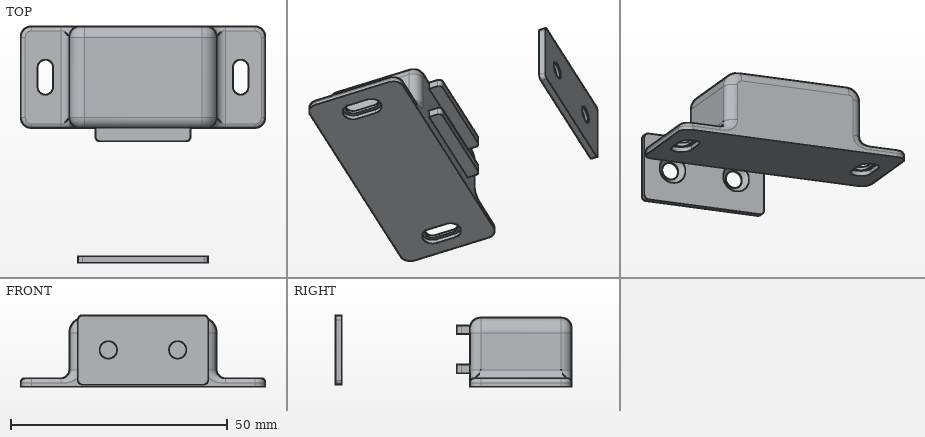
import cadquery as cq
import math

housing_width = 56.5
cover_width = 34.0
housing_depth = 23.5
cover_height = 16.0
ear_thickness = 2.0
ear_corner_radius = 2.5
ear_edge_radius = 1.0
cover_side_radius = 3.5
cover_edge_radius = 2.5
ear_root_radius = 2.0

slot_spacing = 45.1
slot_width = 3.5
slot_length = 8.0
slot_recess_depth = 1.2
slot_recess_margin = 0.7

pole_width = 22.0
pole_thickness = 2.05
pole_overhang = 3.05
pole_corner_radius = 1.0
pole_spacing = 9.05
pole_middle_height = 8.65
pole_pocket_depth = housing_depth / 2

strike_width = 30.05
strike_height = 16.0
strike_thickness = 1.5
strike_corner_radius = 1.0
strike_base_height = 0.5
strike_front_y = -31.1
strike_hole_diameter = 4.0
strike_hole_spacing = 16.0
strike_countersink = 1.25

root_centre_x = cover_width / 2 + ear_root_radius
root_centre_z = ear_thickness + ear_root_radius
root_section_angles = [0, 30, 60, 90]
cutter_margin = 0.55

pole_heights = [
    pole_middle_height - pole_spacing / 2,
    pole_middle_height + pole_spacing / 2,
]


def make_ears():
    """Flat mounting strip with round corners and a rounded upper edge."""
    strip = cq.Workplane("XY").box(
        housing_width, housing_depth, ear_thickness, centered=(True, False, False)
    )
    strip = strip.edges("|Z").fillet(ear_corner_radius)
    return strip.faces(">Z").edges().fillet(ear_edge_radius)


def make_cover():
    """Block with every edge rounded except those on the mounting face."""
    block = cq.Workplane("XY").box(
        cover_width, housing_depth, cover_height, centered=(True, False, False)
    )
    block = block.edges("|Y and >Z").fillet(cover_side_radius)
    front_and_back = block.faces("<Y or >Y").edges("not <Z")
    return front_and_back.fillet(cover_edge_radius)


def make_corner_section(angle):
    """Waste left outside the rounded front edge of an ear root, cut at one angle round the root.

    The angle runs from 0 at the cover to 90 degrees at the ear.  The edge radius changes
    smoothly from that of the cover to that of the ear.
    """
    cover_share = math.cos(math.radians(angle)) ** 2
    edge_radius = ear_edge_radius + (cover_edge_radius - ear_edge_radius) * cover_share
    plane = cq.Plane(
        origin=(root_centre_x, 0, root_centre_z),
        xDir=(-math.cos(math.radians(angle)), 0, -math.sin(math.radians(angle))),
        normal=(math.sin(math.radians(angle)), 0, -math.cos(math.radians(angle))),
    )
    arc_middle = edge_radius * (1 - math.sqrt(0.5))
    return (
        cq.Workplane(plane)
        .moveTo(ear_root_radius + edge_radius, 0)
        .threePointArc(
            (ear_root_radius + arc_middle, arc_middle),
            (ear_root_radius, edge_radius),
        )
        .lineTo(ear_root_radius - cutter_margin, edge_radius)
        .lineTo(ear_root_radius - cutter_margin, -cutter_margin)
        .lineTo(ear_root_radius + edge_radius, -cutter_margin)
        .close()
        .val()
    )


def make_ear_root():
    """Concave fill between the cover and the ear at +X, with square front and back edges."""
    inner_x = cover_width / 2 - cover_edge_radius
    diagonal = ear_root_radius * math.sqrt(0.5)
    return (
        cq.Workplane("XZ")
        .moveTo(inner_x, 0)
        .lineTo(root_centre_x, 0)
        .lineTo(root_centre_x, ear_thickness)
        .threePointArc(
            (root_centre_x - diagonal, root_centre_z - diagonal),
            (cover_width / 2, root_centre_z),
        )
        .lineTo(inner_x, root_centre_z)
        .close()
        .extrude(-housing_depth)
    )


def round_root_edges(housing):
    """Round the front and back edges of both ear roots."""
    sections = [make_corner_section(angle) for angle in root_section_angles]
    front_waste = cq.Workplane(cq.Solid.makeLoft(sections))
    back_waste = front_waste.mirror("XZ").translate((0, housing_depth, 0))
    for waste in (front_waste, back_waste):
        housing = housing.cut(waste).cut(waste.mirror("YZ"))
    return housing


def cut_screw_slots(housing):
    """Slots through the ears, each with a wider recess in the mounting face."""
    places = [(-slot_spacing / 2, housing_depth / 2), (slot_spacing / 2, housing_depth / 2)]
    slots = (
        cq.Workplane("XY")
        .pushPoints(places)
        .slot2D(slot_length, slot_width, 90)
        .extrude(ear_thickness)
    )
    recesses = (
        cq.Workplane("XY")
        .pushPoints(places)
        .slot2D(slot_length + 2 * slot_recess_margin, slot_width + 2 * slot_recess_margin, 90)
        .extrude(slot_recess_depth)
    )
    return housing.cut(slots).cut(recesses)


def make_pole_plate(height):
    """Flat plate centred at the given height, with its two front corners rounded."""
    plate = cq.Workplane("XY").box(
        pole_width,
        pole_overhang + pole_pocket_depth,
        pole_thickness,
        centered=(True, False, True),
    )
    plate = plate.edges("|Z and <Y").fillet(pole_corner_radius)
    return plate.translate((0, -pole_overhang, height))


def make_housing(pole_plates):
    root = make_ear_root()
    housing = make_ears().union(make_cover()).union(root).union(root.mirror("YZ"))
    housing = round_root_edges(housing)
    housing = cut_screw_slots(housing)
    for plate in pole_plates:
        housing = housing.cut(plate)
    return housing


def make_strike_plate():
    """Upright plate with round corners and two holes countersunk on the side facing the housing."""
    hole_places = [(-strike_hole_spacing / 2, 0), (strike_hole_spacing / 2, 0)]
    plate = (
        cq.Workplane("XZ")
        .rect(strike_width, strike_height)
        .extrude(-strike_thickness)
        .edges("|Y")
        .fillet(strike_corner_radius)
    )
    holes = (
        cq.Workplane("XZ")
        .pushPoints(hole_places)
        .circle(strike_hole_diameter / 2)
        .extrude(-strike_thickness)
    )
    countersinks = (
        cq.Workplane("XZ", origin=(0, strike_thickness, 0))
        .pushPoints(hole_places)
        .circle(strike_hole_diameter / 2 + strike_countersink)
        .extrude(strike_countersink, taper=45)
    )
    plate = plate.cut(holes).cut(countersinks)
    return plate.translate((0, strike_front_y, strike_base_height + strike_height / 2))


pole_plates = [make_pole_plate(height) for height in pole_heights]
housing = make_housing(pole_plates)
strike_plate = make_strike_plate()

result = cq.Compound.makeCompound(
    [housing.val(), *[plate.val() for plate in pole_plates], strike_plate.val()]
)